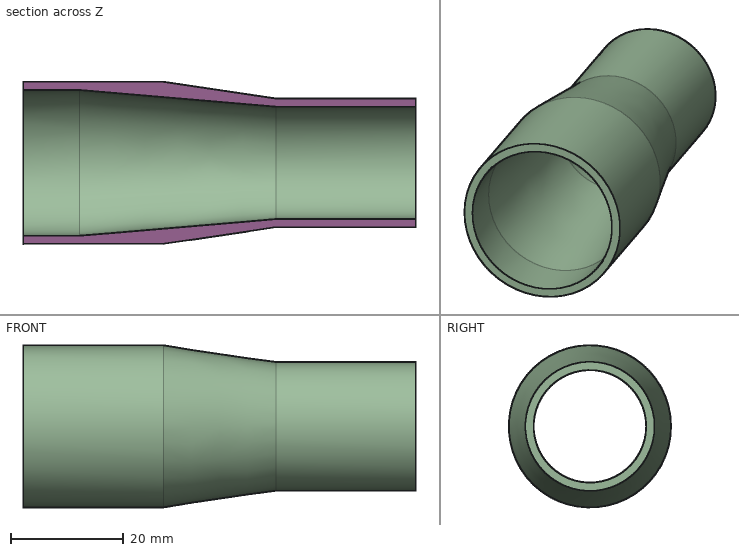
import cadquery as cq

total_length = 70.0
sleeve_length = 25.0
bore_entry_length = 10.0
bore_exit_length = 25.0
wide_outer_diameter = 29.0
wide_inner_diameter = 26.0
narrow_outer_diameter = 23.0
narrow_inner_diameter = 20.0


def stepped_taper(wide_diameter, narrow_diameter, wide_length, narrow_length):
    """Solid of revolution about X with a conical run between two cylinders."""
    wide_radius = wide_diameter / 2
    narrow_radius = narrow_diameter / 2
    wide_end = -total_length / 2
    narrow_end = total_length / 2
    return (
        cq.Workplane("XY")
        .moveTo(wide_end, 0)
        .lineTo(wide_end, wide_radius)
        .lineTo(wide_end + wide_length, wide_radius)
        .lineTo(narrow_end - narrow_length, narrow_radius)
        .lineTo(narrow_end, narrow_radius)
        .lineTo(narrow_end, 0)
        .close()
        .revolve(360, (0, 0, 0), (1, 0, 0))
    )


body = stepped_taper(
    wide_outer_diameter, narrow_outer_diameter, sleeve_length, sleeve_length
)
bore = stepped_taper(
    wide_inner_diameter, narrow_inner_diameter, bore_entry_length, bore_exit_length
)

result = body.cut(bore)